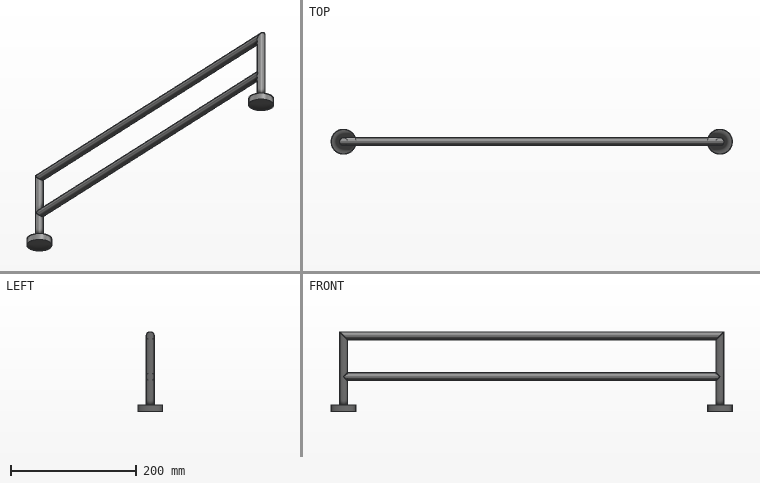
import cadquery as cq

overall_length = 640.0
overall_height = 127.5
flange_diameter = 40.0
flange_thickness = 11.0
tube_diameter = 13.0
lower_rail_height = 56.0
mitre_clearance = 6.5

tube_radius = tube_diameter / 2
post_x = (overall_length - flange_diameter) / 2
post_positions = (-post_x, post_x)
frame_half_length = post_x + tube_radius
opening_half_length = post_x - tube_radius
upper_rail_height = overall_height - tube_radius
opening_top = overall_height - tube_diameter


def make_bar_along_x(half_length, height):
    """Round bar centred on the YZ plane, with its axis at the given height."""
    return (
        cq.Workplane("YZ", origin=(-half_length, 0, 0))
        .center(0, height)
        .circle(tube_radius)
        .extrude(2 * half_length)
    )


def make_post_blank(x):
    """Full-height round bar standing on a flange, before mitring."""
    return (
        cq.Workplane("XY", origin=(x, 0, flange_thickness))
        .circle(tube_radius)
        .extrude(overall_height - flange_thickness)
    )


def make_flange(x):
    """Round mounting disc on the base plane."""
    return cq.Workplane("XY", origin=(x, 0, 0)).circle(flange_diameter / 2).extrude(flange_thickness)


def make_mitre_prism():
    """Trapezoidal block whose sloping ends are the 45-degree mitre planes."""
    return (
        cq.Workplane("XZ")
        .polyline([
            (-frame_half_length, overall_height),
            (frame_half_length, overall_height),
            (opening_half_length, opening_top),
            (-opening_half_length, opening_top),
        ])
        .close()
        .extrude(tube_radius + mitre_clearance, both=True)
    )


def make_post(x):
    """Post with its top end mitred to meet the upper rail."""
    return make_post_blank(x).cut(make_mitre_prism())


def make_upper_rail():
    """Rail joining the post tops with a mitre at each end."""
    return make_bar_along_x(frame_half_length, upper_rail_height).intersect(make_mitre_prism())


def make_lower_rail():
    """Rail between the posts, its ends hollowed to fit round them."""
    rail = make_bar_along_x(post_x, lower_rail_height)
    for x in post_positions:
        rail = rail.cut(make_post_blank(x))
    return rail


flanges = [make_flange(x) for x in post_positions]
posts = [make_post(x) for x in post_positions]
upper_rail = make_upper_rail()
lower_rail = make_lower_rail()

result = cq.Compound.makeCompound([
    *[flange.val() for flange in flanges],
    *[post.solids().val() for post in posts],
    upper_rail.solids().val(),
    lower_rail.solids().val(),
])